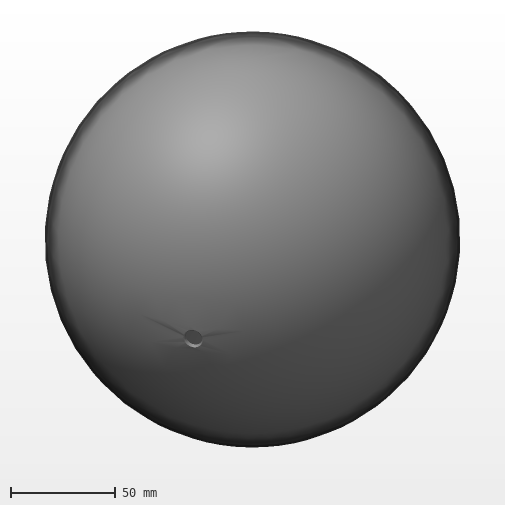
import cadquery as cq
import math

OUTER_DIAMETER = 200.0
WALL = 2.0
HOLE_DIAMETER = 8.5
MOUTH_CHAMFER = 0.5
SEAM_ANGLE = 45.0

outer_radius = OUTER_DIAMETER / 2
inner_radius = outer_radius - WALL
hole_radius = HOLE_DIAMETER / 2
mouth_radius = hole_radius + MOUTH_CHAMFER


def hollow_ball():
    """Spherical shell, poles on Z, whose inner surface is two halves joined at the equator."""
    diagonal = inner_radius * math.sqrt(0.5)
    profile = (
        cq.Workplane("XZ")
        .moveTo(0, -outer_radius)
        .threePointArc((outer_radius, 0), (0, outer_radius))
        .lineTo(0, inner_radius)
        .threePointArc((diagonal, diagonal), (inner_radius, 0))
        .threePointArc((diagonal, -diagonal), (0, -inner_radius))
        .close()
    )
    shell = profile.revolve(360, (0, 0, 0), (0, 1, 0), clean=False)
    return shell.rotate((0, 0, 0), (0, 0, 1), SEAM_ANGLE)


def wall_hole():
    """Round cutter along Y through the -Y wall, with a 45 degree chamfer at the mouth."""
    mouth_distance = math.sqrt(outer_radius**2 - mouth_radius**2)
    cone_start = mouth_distance - MOUTH_CHAMFER
    cone_end = mouth_distance + MOUTH_CHAMFER
    profile = (
        cq.Workplane("YZ")
        .lineTo(0, hole_radius)
        .lineTo(-cone_start, hole_radius)
        .lineTo(-cone_end, mouth_radius + MOUTH_CHAMFER)
        .lineTo(-cone_end, 0)
        .close()
    )
    return profile.revolve(360, (0, 0, 0), (1, 0, 0))


result = hollow_ball().cut(wall_hole(), clean=False)